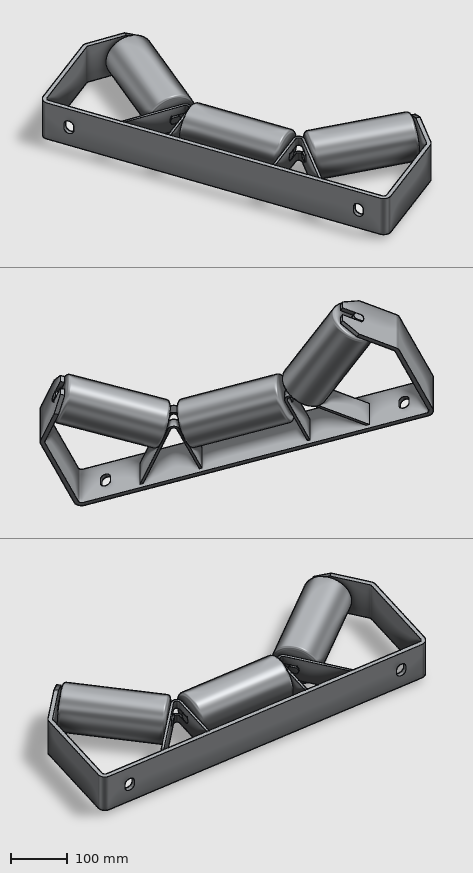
import cadquery as cq
import math

length = 680.0
half_length = length / 2
strip_width = 80.0
plan_angle = 40.0
rake_angle = 2.0
sin_plan = math.sin(math.radians(plan_angle))
cos_plan = math.cos(math.radians(plan_angle))

frame_thickness = 8.0
base_bend = 14.0
knee_bend = 12.0
knee_y = 183.0
arm_tip_y = 269.0
tip_chamfer_drop = 18.0
tip_chamfer_run = 33.0
mount_slot_x = 283.0
mount_slot_width = 19.0
mount_slot_height = 27.0

bracket_thickness = 5.0
bracket_bend = 11.0
bracket_face_x = 100.0
bracket_top_y = 129.0
bracket_width = 50.0
bend_x = -bracket_face_x - bracket_bend
bend_y = bracket_top_y - bracket_bend

roller_diameter = 89.0
roller_length = 192.0
roller_fillet = 6.0
shaft_diameter = 20.0
shaft_flats = 14.0
slot_width = 16.0
slot_clearance = 0.35
slot_depth = 54.5
collar_clearance = 1.5
collar_gap = bracket_face_x - roller_length / 2
centre_axis_y = 101.0
centre_axis_z = 33.0
wing_axis_offset = 2.0
bracket_overhang = 2.0


def along_wing(x, y):
    """Station of a plan position along the left wing axis, counted inwards."""
    return x * cos_plan - y * sin_plan


def wing_point(along, across):
    """Plan position from its station along the left wing axis and its distance across it."""
    return (along * cos_plan + across * sin_plan, across * cos_plan - along * sin_plan)


arm_outer_face = along_wing(-half_length, knee_y)
arm_inner_face = arm_outer_face + frame_thickness
bracket_face = along_wing(bend_x, bend_y) - bracket_bend


def mirrored(body):
    return body.mirror("YZ")


def shaft_slot(origin, axis, up, run):
    """Cutter for an open slot with a round bottom, run long, about a shaft axis at origin."""
    radius = shaft_diameter / 2 + slot_clearance
    half_width = slot_width / 2
    shoulder = -math.sqrt(radius**2 - half_width**2)
    return (
        cq.Workplane(cq.Plane(origin=origin, xDir=up, normal=axis))
        .moveTo(slot_depth, -half_width)
        .lineTo(shoulder, -half_width)
        .threePointArc((-radius, 0), (shoulder, half_width))
        .lineTo(slot_depth, half_width)
        .close()
        .extrude(run)
    )


def wing_slot(station, run, axis_z):
    """Slot for the left wing shaft, starting at a station along the wing axis."""
    x, y = wing_point(station, wing_axis_offset)
    return shaft_slot((x, y, axis_z), (cos_plan, -sin_plan, 0), (sin_plan, cos_plan, 0), run)


def make_frame():
    wall_x = -half_length + frame_thickness
    arm_tip_x = -half_length + (arm_tip_y - knee_y) * sin_plan / cos_plan
    inner_tip = (arm_tip_x + frame_thickness * cos_plan, arm_tip_y - frame_thickness * sin_plan)
    inner_knee_y = knee_y - frame_thickness * math.tan(math.radians(plan_angle / 2))
    half = (
        cq.Workplane("XY")
        .polyline([
            (0, 0),
            (-half_length, 0),
            (-half_length, knee_y),
            (arm_tip_x, arm_tip_y),
            inner_tip,
            (wall_x, inner_knee_y),
            (wall_x, frame_thickness),
            (0, frame_thickness),
        ])
        .close()
        .extrude(strip_width)
    )
    bends = [
        (-half_length, 0, base_bend),
        (wall_x, frame_thickness, base_bend - frame_thickness),
        (-half_length, knee_y, knee_bend),
        (wall_x, inner_knee_y, knee_bend - frame_thickness),
    ]
    for x, y, radius in bends:
        corner = cq.selectors.NearestToPointSelector((x, y, strip_width / 2))
        half = half.edges(corner).fillet(radius)

    half = half.cut(tip_chamfers(arm_tip_x))
    half = half.cut(wing_slot(arm_outer_face, frame_thickness, strip_width / 2))
    half = half.cut(mount_slot())
    return half.union(mirrored(half))


def tip_chamfers(arm_tip_x):
    """Wedges that cut both corners off the arm tip, drawn on the arm's outer face."""
    mid_z = strip_width / 2
    face = cq.Plane(
        origin=(arm_tip_x, arm_tip_y, mid_z),
        xDir=(-sin_plan, -cos_plan, 0),
        normal=(cos_plan, -sin_plan, 0),
    )
    upper = (
        cq.Workplane(face)
        .polyline([(0, mid_z), (tip_chamfer_run, mid_z), (0, mid_z - tip_chamfer_drop)])
        .close()
        .extrude(frame_thickness)
    )
    return upper.union(upper.mirror("XY", (0, 0, mid_z)))


def mount_slot():
    return (
        cq.Workplane("XZ", origin=(-mount_slot_x, 0, strip_width / 2))
        .slot2D(mount_slot_height, mount_slot_width, 90)
        .extrude(-frame_thickness)
    )


def bracket_block(radius):
    """Solid under one face of the bent bracket, whose bend there has the given radius."""
    station = along_wing(bend_x, bend_y) - radius
    foot_across = (frame_thickness + station * sin_plan) / cos_plan
    bend_start = (bend_x - radius * cos_plan, bend_y + radius * sin_plan)
    return (
        cq.Workplane("XY", origin=(0, 0, centre_axis_z - bracket_width / 2))
        .moveTo(*wing_point(station, foot_across))
        .lineTo(*bend_start)
        .threePointArc((bend_x, bend_y + radius), (bend_x + radius, bend_y))
        .lineTo(bend_x + radius, frame_thickness)
        .close()
        .extrude(bracket_width)
    )


def make_bracket():
    bracket = bracket_block(bracket_bend).cut(bracket_block(bracket_bend - bracket_thickness))
    centre_slot = shaft_slot((bend_x, centre_axis_y, centre_axis_z), (1, 0, 0), (0, 1, 0), bracket_bend)
    return bracket.cut(centre_slot).cut(wing_slot(bracket_face, bracket_bend, centre_axis_z))


def axial_bar(diameter, left, right):
    """Round bar along X from left to right."""
    return cq.Workplane("YZ", origin=(left, 0, 0)).circle(diameter / 2).extrude(right - left)


def make_roller(left_tip, right_tip):
    """Roller along X about the origin; the tips are the flatted shaft lengths past the collars."""
    body = axial_bar(roller_diameter, -roller_length / 2, roller_length / 2)
    body = body.faces("<X or >X").edges().fillet(roller_fillet)
    seat = roller_length / 2 + collar_gap
    collar_end = seat - collar_clearance
    collar = axial_bar(shaft_diameter, -collar_end, collar_end)
    shaft = axial_bar(shaft_diameter, -seat - left_tip, seat + right_tip)
    flats = cq.Workplane("XY").box(length, shaft_diameter, shaft_flats)
    return body.union(collar).union(shaft.intersect(flats))


def make_centre_roller():
    roller = make_roller(bracket_thickness, bracket_thickness)
    return roller.translate((0, centre_axis_y, centre_axis_z))


def make_wing_roller():
    roller = make_roller(frame_thickness, bracket_thickness + bracket_overhang)
    roller = roller.rotate((0, 0, 0), (0, 1, 0), rake_angle)
    roller = roller.rotate((0, 0, 0), (0, 0, 1), -plan_angle)
    span = bracket_face - arm_inner_face
    x, y = wing_point(arm_inner_face + span / 2, wing_axis_offset)
    fall = span * math.tan(math.radians(rake_angle))
    return roller.translate((x, y, (strip_width - fall) / 2))


frame = make_frame()
left_bracket = make_bracket()
centre_roller = make_centre_roller()
left_wing_roller = make_wing_roller()

bodies = [frame, centre_roller]
for left_body in (left_bracket, left_wing_roller):
    bodies += [left_body, mirrored(left_body)]

result = cq.Compound.makeCompound([solid for body in bodies for solid in body.solids().vals()])